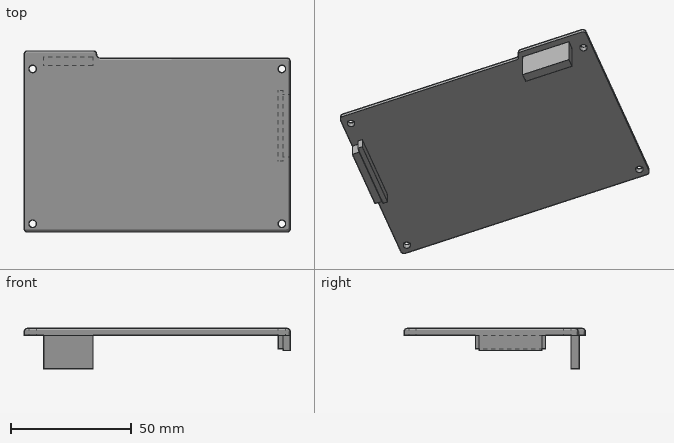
import cadquery as cq

plate_length = 110.0
plate_width = 75.0
plate_thickness = 3.0

tab_length = 30.0
step_depth = 3.0

corner_radius = step_depth / 2
rim_radius = 1.5

hole_diameter = 3.0
hole_inset = 3.5
hole_spacing_y = 64.0

tongue_left = 8.0
tongue_length = 20.5
tongue_thickness = 3.5
tongue_back_inset = 2.5
tongue_height = 13.75

connector_center_y = 44.0
base_width = 29.0
base_thickness = 2.0
base_height = 5.5
face_width = 26.0
face_thickness = 3.0
face_height = 6.25


def hanging_block(left, front, length, width, height):
    """Rectangular block hanging from the underside of the plate."""
    block = cq.Workplane("XY").box(length, width, height, centered=False)
    return block.translate((left, front, -height))


def make_plate():
    """Stepped plate with rounded outline corners and a rounded upper rim."""
    step_y = plate_width - step_depth
    r = corner_radius
    outline = (
        cq.Workplane("XY")
        .moveTo(r, 0)
        .lineTo(plate_length - r, 0)
        .radiusArc((plate_length, r), -r)
        .lineTo(plate_length, step_y - r)
        .radiusArc((plate_length - r, step_y), -r)
        .lineTo(tab_length + r, step_y)
        .radiusArc((tab_length, step_y + r), r)
        .radiusArc((tab_length - r, plate_width), -r)
        .lineTo(r, plate_width)
        .radiusArc((0, plate_width - r), -r)
        .lineTo(0, r)
        .radiusArc((r, 0), -r)
        .close()
    )
    plate = outline.extrude(plate_thickness)
    return plate.faces(">Z").edges().fillet(rim_radius)


def make_screw_holes():
    """Cutters for the four through holes."""
    columns = (hole_inset, plate_length - hole_inset)
    rows = (hole_inset, hole_inset + hole_spacing_y)
    centers = [(x, y) for x in columns for y in rows]
    return cq.Workplane("XY").pushPoints(centers).circle(hole_diameter / 2).extrude(plate_thickness)


def make_tongue():
    """Thin upright tongue below the tab, parallel to the back edge."""
    front = plate_width - tongue_back_inset - tongue_thickness
    return hanging_block(tongue_left, front, tongue_length, tongue_thickness, tongue_height)


def make_connector():
    """Two touching blocks, the outer one flush with the right edge of the plate."""
    face_left = plate_length - face_thickness
    base_left = face_left - base_thickness
    base_front = connector_center_y - base_width / 2
    face_front = connector_center_y - face_width / 2
    base = hanging_block(base_left, base_front, base_thickness, base_width, base_height)
    face = hanging_block(face_left, face_front, face_thickness, face_width, face_height)
    return base.union(face)


result = make_plate().cut(make_screw_holes()).union(make_tongue()).union(make_connector())